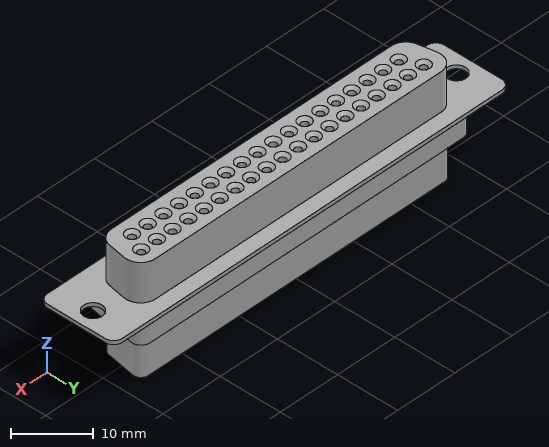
import cadquery as cq
import math

flange_length = 69.3
flange_width = 12.55
flange_thickness = 0.6
flange_corner_radius = 1.5
mounting_hole_diameter = 3.05
mounting_hole_spacing = 63.5

end_lean = math.radians(10)

plug_length, plug_width, plug_corner_radius = 54.8, 7.8, 2.5
plug_height = 6.25

collar_length, collar_width, collar_corner_radius = 57.75, 10.7, 1.5
collar_height = 3.95

rear_length, rear_width, rear_corner_radius = 54.3, 7.3, 1.25
rear_height = 6.85

long_row_count = 19
long_row_span = 49.35
contact_pitch = long_row_span / (long_row_count - 1)
contact_offset = 0.15
row_spacing = 2.85
contact_diameter = 1.1
lead_in_diameter = 2.1
lead_in_angle = 90

collar_top = -flange_thickness
rear_top = collar_top - collar_height
rear_bottom = rear_top - rear_height


def d_block(length, width, corner_radius, bottom, height):
    """Rounded D-shaped block; length spans the outermost points of its rounded ends."""
    rounding_loss = corner_radius * (1 / math.tan(math.pi / 4 - end_lean / 2) - 1)
    wide_half = length / 2 + rounding_loss
    narrow_half = wide_half - width * math.tan(end_lean)
    corners = [
        (-wide_half, width / 2),
        (wide_half, width / 2),
        (narrow_half, -width / 2),
        (-narrow_half, -width / 2),
    ]
    block = cq.Workplane("XY").workplane(offset=bottom).polyline(corners).close().extrude(height)
    return block.edges("|Z").fillet(corner_radius)


def flange():
    plate = (
        cq.Workplane("XY")
        .workplane(offset=-flange_thickness)
        .rect(flange_length, flange_width)
        .extrude(flange_thickness)
        .edges("|Z")
        .fillet(flange_corner_radius)
    )
    return (
        plate.faces(">Z")
        .workplane()
        .rarray(mounting_hole_spacing, 0.7, 2, 1)
        .hole(mounting_hole_diameter)
    )


def contact_row(body, count, y):
    """Drill a row of countersunk through holes, centred on the contact offset."""
    return (
        body.faces(">Z")
        .workplane(origin=(contact_offset, y, 0))
        .rarray(contact_pitch, 0.7, count, 1)
        .cskHole(contact_diameter, lead_in_diameter, lead_in_angle)
    )


plug = d_block(plug_length, plug_width, plug_corner_radius, 0, plug_height)
collar = d_block(collar_length, collar_width, collar_corner_radius, rear_top, collar_height)
rear = d_block(rear_length, rear_width, rear_corner_radius, rear_bottom, rear_height)

body = flange().union(plug).union(collar).union(rear)
body = contact_row(body, long_row_count, row_spacing / 2)
result = contact_row(body, long_row_count - 1, -row_spacing / 2)